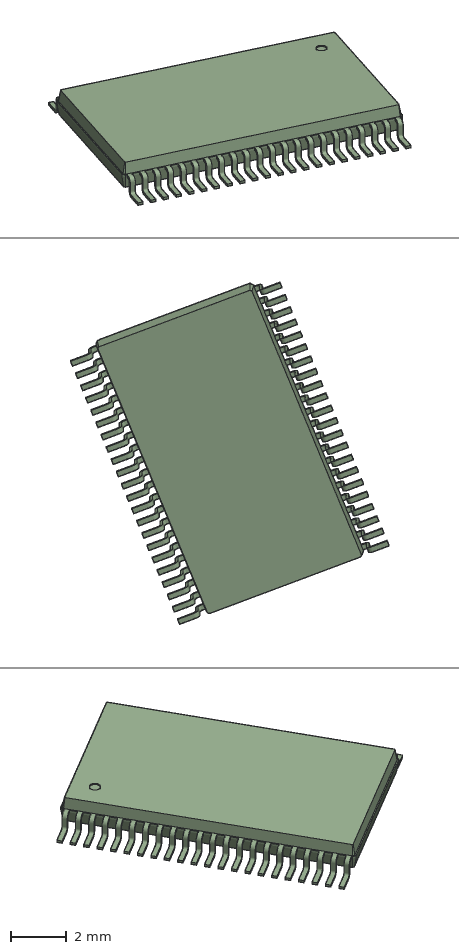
import cadquery as cq
import math

body_width = 6.1
body_length = 11.0
body_bottom = 0.2
body_top = 1.2
corner_chamfer = 0.1
shelf_width = 0.05
taper_inset = 0.075

lead_span = 8.1
lead_count_per_side = 22
lead_pitch = 0.5
lead_width = 0.2
lead_thickness = 0.1
inner_bend_radius = 0.1
leg_outer_x = 3.35
lead_embed = 0.3

dimple_diameter = 0.4
dimple_depth = 0.05
dimple_edge_distance = 0.9

parting_middle = (body_bottom + body_top) / 2
band_bottom = parting_middle - lead_thickness / 2
band_top = parting_middle + lead_thickness / 2
half_height = body_top - band_top
taper_angle = math.degrees(math.atan2(taper_inset, half_height))

top_face_inset = shelf_width + taper_inset
dimple_x = -(body_width / 2 - top_face_inset - dimple_edge_distance)
dimple_y = body_length / 2 - top_face_inset - dimple_edge_distance


def body_prism(start_z, height, inset=0, taper=0):
    """Inset rectangle with chamfered corners, extruded from start_z; negative height goes down."""
    half_width = body_width / 2 - inset
    half_length = body_length / 2 - inset
    chamfer = corner_chamfer - inset * (2 - math.sqrt(2))
    inner_x = half_width - chamfer
    inner_y = half_length - chamfer
    outline = [
        (half_width, -inner_y),
        (half_width, inner_y),
        (inner_x, half_length),
        (-inner_x, half_length),
        (-half_width, inner_y),
        (-half_width, -inner_y),
        (-inner_x, -half_length),
        (inner_x, -half_length),
    ]
    return cq.Workplane("XY").workplane(offset=start_z).polyline(outline).close().extrude(height, taper=taper)


def make_body():
    band = body_prism(band_bottom, band_top - band_bottom)
    upper_half = body_prism(band_top, half_height, inset=shelf_width, taper=taper_angle)
    lower_half = body_prism(band_bottom, -half_height, taper=taper_angle)
    return band.union(upper_half).union(lower_half)


def cut_dimple(body):
    dimple = (
        cq.Workplane("XY")
        .workplane(offset=body_top - dimple_depth)
        .center(dimple_x, dimple_y)
        .circle(dimple_diameter / 2)
        .extrude(dimple_depth)
    )
    return body.cut(dimple)


def make_lead():
    """Gull-wing lead on the +X side, centred on Y = 0, with its foot on Z = 0."""
    outer_bend_radius = inner_bend_radius + lead_thickness
    root_x = body_width / 2 - lead_embed
    tip_x = lead_span / 2
    leg_inner_x = leg_outer_x - lead_thickness
    shoulder_x = leg_outer_x - outer_bend_radius
    heel_x = leg_inner_x + outer_bend_radius
    shoulder_z = band_top - outer_bend_radius
    heel_z = outer_bend_radius
    diagonal = math.sqrt(0.5)

    def on_bend(center_x, center_z, radius, side):
        """Midpoint of a bend; side is +1 for the shoulder and -1 for the heel."""
        return (center_x + side * radius * diagonal, center_z + side * radius * diagonal)

    profile = (
        cq.Workplane("XZ")
        .moveTo(root_x, band_top)
        .lineTo(shoulder_x, band_top)
        .threePointArc(on_bend(shoulder_x, shoulder_z, outer_bend_radius, 1), (leg_outer_x, shoulder_z))
        .lineTo(leg_outer_x, heel_z)
        .threePointArc(on_bend(heel_x, heel_z, inner_bend_radius, -1), (heel_x, lead_thickness))
        .lineTo(tip_x, lead_thickness)
        .lineTo(tip_x, 0)
        .lineTo(heel_x, 0)
        .threePointArc(on_bend(heel_x, heel_z, outer_bend_radius, -1), (leg_inner_x, heel_z))
        .lineTo(leg_inner_x, shoulder_z)
        .threePointArc(on_bend(shoulder_x, shoulder_z, inner_bend_radius, 1), (shoulder_x, band_bottom))
        .lineTo(root_x, band_bottom)
        .close()
    )
    return profile.extrude(lead_width / 2, both=True)


def make_leads():
    right_lead = make_lead()
    left_lead = right_lead.mirror("YZ")
    first_y = -lead_pitch * (lead_count_per_side - 1) / 2
    leads = []
    for index in range(lead_count_per_side):
        lead_y = first_y + index * lead_pitch
        for lead in (left_lead, right_lead):
            leads.append(lead.translate((0, lead_y, 0)).val())
    return leads


package = cut_dimple(make_body())
result = cq.Workplane(package.val().fuse(*make_leads())).clean()